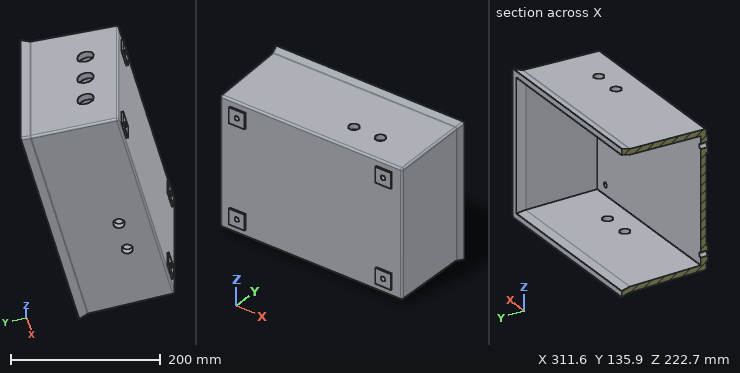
import cadquery as cq
import math

total_depth = 135.89
foot_height = 2.54
box_depth = total_depth - foot_height
bend_width = 304.8
bend_height = 215.9
rim_depth = 12.7
rim_flare = 15.0
body_draft = 1.0
wall = 9.525
edge_radius = 3.0
bend_radius = 4.8

foot_size = 25.4
foot_spacing_x = 241.3
foot_spacing_z = 162.6
foot_hole_diameter = 7.14

side_hole_diameter = 22.23
side_hole_depth = 88.5
side_hole_spacing = 47.6
side_hole_count = 3

port_diameter = 15.08
port_depth = 90.6
port_spacing = 43.7
top_port_start_x = 39.7
bottom_port_start_x = 17.6


def frustum(width, height, start_y, length, taper):
    """Rectangular block around the Y axis, widening by taper degrees along its length.

    width and height are its size at start_y; a positive length runs toward -Y.
    """
    end_growth = 2 * abs(length) * math.tan(math.radians(taper))
    return (
        cq.Workplane("XZ", origin=(0, start_y, 0))
        .rect(width, height)
        .workplane(offset=length)
        .rect(width + end_growth, height + end_growth)
        .loft(ruled=True)
    )


def flared_box(inset, depth):
    """Rim and body of the box as a sharp-edged solid, with every wall moved inward by inset."""
    width = bend_width - 2 * inset
    height = bend_height - 2 * inset
    rim = frustum(width, height, -rim_depth, -rim_depth, rim_flare)
    body = frustum(width, height, -rim_depth, depth - rim_depth, -body_draft)
    return rim.union(body)


def outer_box():
    """Outside of the box, with rounded bend, corners and floor edge."""
    box = flared_box(0, box_depth)
    around_bend = cq.selectors.BoxSelector(
        (-bend_width, -rim_depth - bend_radius, -bend_height),
        (bend_width, -rim_depth + bend_radius, bend_height),
    )
    box = box.edges("#Y").edges(around_bend).fillet(bend_radius)
    corner_edges = box.edges("not(#Y)")
    floor_edges = box.faces("<Y").edges()
    return corner_edges.add(floor_edges).fillet(edge_radius)


def feet():
    """Four square pads on the floor."""
    return (
        cq.Workplane("XZ", origin=(0, -box_depth, 0))
        .rect(foot_spacing_x, foot_spacing_z, forConstruction=True)
        .vertices()
        .rect(foot_size, foot_size)
        .extrude(foot_height)
    )


def foot_holes():
    """Drills through the feet and the floor."""
    return (
        cq.Workplane("XZ", origin=(0, wall - box_depth, 0))
        .rect(foot_spacing_x, foot_spacing_z, forConstruction=True)
        .vertices()
        .circle(foot_hole_diameter / 2)
        .extrude(wall + foot_height)
    )


def side_holes():
    """Row of holes through the -X wall only."""
    return (
        cq.Workplane("YZ", origin=(0, -side_hole_depth, 0))
        .rarray(1, side_hole_spacing, 1, side_hole_count)
        .circle(side_hole_diameter / 2)
        .extrude(-bend_width / 2)
    )


def ports(start_x, direction):
    """Pair of ports through the +Z (direction 1) or -Z (direction -1) wall."""
    return (
        cq.Workplane("XY", origin=(0, -port_depth, 0))
        .pushPoints([(start_x, 0), (start_x + port_spacing, 0)])
        .circle(port_diameter / 2)
        .extrude(direction * bend_height / 2)
    )


shell = outer_box().cut(flared_box(wall, box_depth - wall))
result = (
    shell.union(feet())
    .cut(foot_holes())
    .cut(side_holes())
    .cut(ports(top_port_start_x, 1))
    .cut(ports(bottom_port_start_x, -1))
)